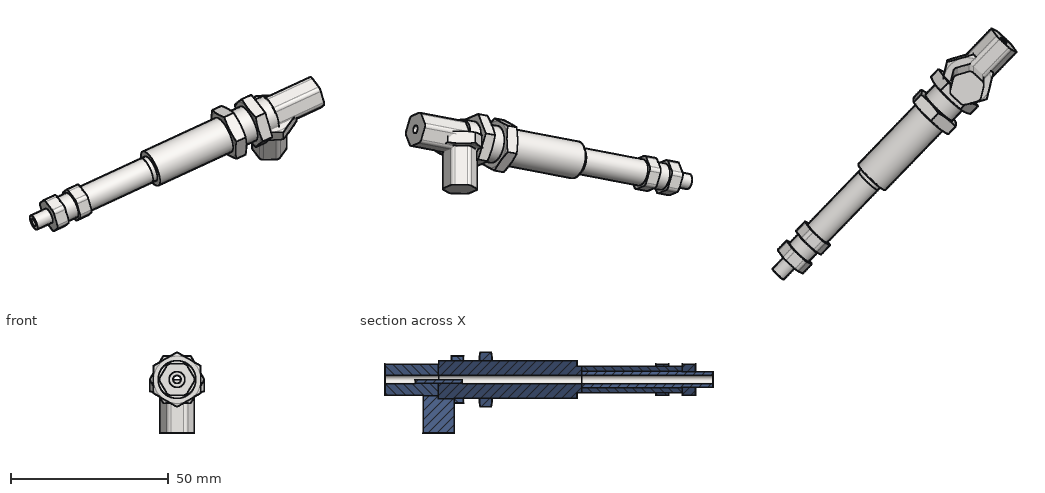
import cadquery as cq
import math

overall_length = 104.0
overall_height = 25.7

hex_corners = 17.4
hex_flats = hex_corners * math.cos(math.pi / 6)
hex_thickness = 4.1
collar_thickness = 3.8
hex_chamfer_angle = math.radians(15)

small_flats = 10.0
small_corner_radius = 1.6
gland_nut_thickness = 4.2

housing_diameter = 12.0
tube_diameter = 8.5
rod_diameter = 5.0
bore_diameter = 2.5

barrel_length = overall_height - hex_corners / 2

rear_end = barrel_length
housing_rear = 0.0
collar_rear = -4.1
lock_nut_rear = -12.9
housing_front = -43.9
neck_length = 1.6
neck_front = housing_front - neck_length
gland_nut_rear = -68.8
cap_nut_rear = -77.3
tip = rear_end - overall_length


def along_axis(shape, rear):
    """Turn a shape built upward from Z = 0 so that it runs toward -Y from the given station."""
    return shape.rotate((0, 0, 0), (1, 0, 0), 90).translate((0, rear, 0))


def rod_between(diameter, rear, front):
    """Cylinder on the main axis between two Y stations."""
    return along_axis(cq.Workplane("XY").circle(diameter / 2).extrude(rear - front), rear)


def corner_cone(thickness):
    """Body that trims the upper corners of a large hexagon, starting at its inscribed circle."""
    outer = hex_corners / 2
    inner = hex_flats / 2
    drop = (outer - inner) * math.tan(hex_chamfer_angle)
    profile = (
        cq.Workplane("XZ")
        .lineTo(outer, 0)
        .lineTo(outer, thickness - drop)
        .lineTo(inner, thickness)
        .lineTo(0, thickness)
        .close()
    )
    return profile.revolve(360, (0, 0, 0), (0, 1, 0))


def large_hex(thickness, both_sides):
    """Hexagonal plate with corners on X, chamfered on its upper face or on both faces."""
    plate = cq.Workplane("XY").polygon(6, hex_corners).extrude(thickness)
    cone = corner_cone(thickness)
    plate = plate.intersect(cone)
    if both_sides:
        flipped_cone = cone.rotate((0, 0, 0), (1, 0, 0), 180).translate((0, 0, thickness))
        plate = plate.intersect(flipped_cone)
    return plate


def small_hex(length):
    """Hexagonal bar with rounded corners, two of them on X."""
    sharp_corners = small_flats / math.cos(math.pi / 6)
    bar = cq.Workplane("XY").polygon(6, sharp_corners).extrude(length)
    return bar.edges("|Z").fillet(small_corner_radius)


def make_elbow():
    """Leg below the main axis, with a flange whose top lies at the axis."""
    flange = large_hex(hex_thickness, True).translate((0, 0, -hex_thickness))
    leg = small_hex(barrel_length).translate((0, 0, -barrel_length))
    return flange.union(leg)


def make_barrel(elbow):
    """Rear bar, bored through and notched for the elbow."""
    bar = along_axis(small_hex(rear_end - housing_rear), rear_end)
    bore = rod_between(bore_diameter, rear_end, housing_rear)
    return bar.cut(bore).cut(elbow)


def make_housing(elbow):
    """Main sleeve with a short neck in front, bored through and notched for the elbow."""
    sleeve = rod_between(housing_diameter, housing_rear, housing_front)
    neck = rod_between(tube_diameter, housing_front, neck_front)
    bore = rod_between(bore_diameter, housing_rear, neck_front)
    return sleeve.union(neck).cut(bore).cut(elbow)


def make_collar_nut(elbow):
    """Nut around the housing behind the lock nut, corners on X, notched for the elbow."""
    nut = along_axis(large_hex(collar_thickness, False), collar_rear)
    hole = rod_between(housing_diameter, housing_rear, housing_front)
    return nut.cut(hole).cut(elbow)


def make_lock_nut():
    """Nut around the housing, corners on Z."""
    nut = large_hex(hex_thickness, True).rotate((0, 0, 0), (0, 0, 1), 90)
    hole = rod_between(housing_diameter, housing_rear, housing_front)
    return along_axis(nut, lock_nut_rear).cut(hole)


def make_tube():
    """Tube around the rod, from the housing neck to the cap nut."""
    tube = rod_between(tube_diameter, neck_front, cap_nut_rear)
    return tube.cut(rod_between(rod_diameter, neck_front, cap_nut_rear))


def make_rod():
    """Hollow rod from the housing neck to the tip."""
    rod = rod_between(rod_diameter, neck_front, tip)
    return rod.cut(rod_between(bore_diameter, neck_front, tip))


def make_small_nut(rear, hole_diameter):
    """Small nut with a plain hole."""
    hole = cq.Workplane("XY").circle(hole_diameter / 2).extrude(gland_nut_thickness)
    return along_axis(small_hex(gland_nut_thickness).cut(hole), rear)


elbow = make_elbow()
barrel = make_barrel(elbow)
housing = make_housing(elbow)
collar_nut = make_collar_nut(elbow)
lock_nut = make_lock_nut()
tube = make_tube()
rod = make_rod()

small_nut_sizes = [(gland_nut_rear, tube_diameter), (cap_nut_rear, rod_diameter)]
small_nuts = [make_small_nut(rear, hole) for rear, hole in small_nut_sizes]

result = cq.Compound.makeCompound([
    elbow.val(),
    barrel.val(),
    housing.val(),
    collar_nut.val(),
    lock_nut.val(),
    tube.val(),
    rod.val(),
    *[nut.val() for nut in small_nuts],
])